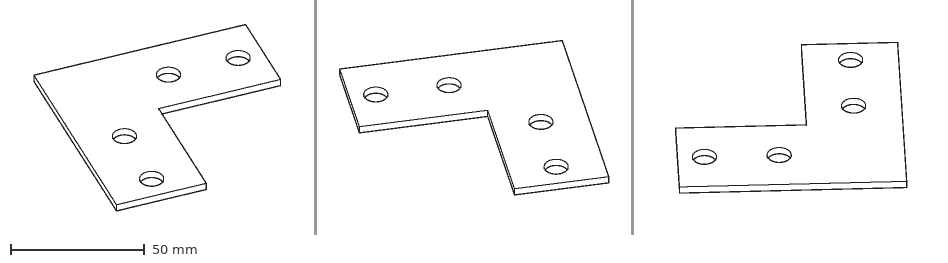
import cadquery as cq

leg_length = 85.0
leg_width = 36.0
thickness = 3.0
hole_diameter = 9.0
end_distance = 10.0
hole_pitch = 28.0

leg_middle = leg_width / 2
outer_hole = leg_length - end_distance
inner_hole = outer_hole - hole_pitch

leg_along_x = cq.Workplane("XY").box(leg_length, leg_width, thickness, centered=False)
leg_along_y = cq.Workplane("XY").box(leg_width, leg_length, thickness, centered=False)
plate = leg_along_x.union(leg_along_y)

hole_centres = []
for distance in (inner_hole, outer_hole):
    hole_centres.append((distance, leg_middle))
    hole_centres.append((leg_middle, distance))

holes = (
    cq.Workplane("XY")
    .pushPoints(hole_centres)
    .circle(hole_diameter / 2)
    .extrude(thickness)
)

result = plate.cut(holes)